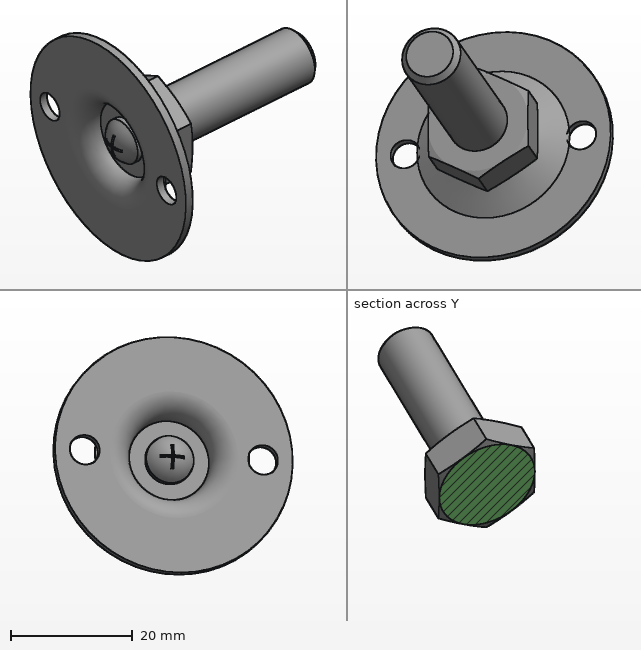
import cadquery as cq
import math


flange_diameter = 40.0
flange_thickness = 1.5
mount_hole_diameter = 5.0
mount_hole_spacing = 30.0

cone_base_radius = 13.0
cone_top_radius = 6.5
cone_top_y = 4.8
recess_depth = 4.0
recess_floor_radius = 6.75
recess_mouth_radius = recess_floor_radius + recess_depth

stud_diameter = 10.0
stud_end_y = 41.0
stud_chamfer = 1.0

nut_across_flats = 17.0
nut_across_corners = nut_across_flats / math.cos(math.radians(30))
nut_height = 6.2
nut_face_diameter = nut_across_flats
nut_bevel_angle = 15.0

head_diameter = 8.0
head_rim_height = 1.0
head_dome_height = 2.2
slot_length = 4.0
slot_width = 0.4
slot_depth = 1.0


def plane_at(y):
    """Plane facing +Y, with its local axes along global Z and X."""
    return cq.Plane(origin=(0, y, 0), xDir=(0, 0, 1), normal=(0, 1, 0))


def spin(profile):
    """Revolve a closed XY profile about the Y axis."""
    return profile.close().revolve(360, (0, 0, 0), (0, 1, 0))


def make_flange():
    holes = [(0, -mount_hole_spacing / 2), (0, mount_hole_spacing / 2)]
    disc = cq.Workplane(plane_at(0)).circle(flange_diameter / 2).extrude(flange_thickness)
    cutter = cq.Workplane(plane_at(0)).pushPoints(holes).circle(mount_hole_diameter / 2)
    return disc.cut(cutter.extrude(flange_thickness))


def make_cone():
    profile = (
        cq.Workplane("XY")
        .moveTo(0, flange_thickness)
        .lineTo(cone_base_radius, flange_thickness)
        .lineTo(cone_top_radius, cone_top_y)
        .lineTo(0, cone_top_y)
    )
    return spin(profile)


def make_recess():
    arc_offset = recess_depth * math.sin(math.radians(45))
    arc_middle = (recess_mouth_radius - arc_offset, recess_depth - arc_offset)
    profile = (
        cq.Workplane("XY")
        .lineTo(recess_mouth_radius, 0)
        .threePointArc(arc_middle, (recess_floor_radius, recess_depth))
        .lineTo(0, recess_depth)
    )
    return spin(profile)


def make_stud():
    stud = cq.Workplane(plane_at(cone_top_y)).circle(stud_diameter / 2).extrude(stud_end_y - cone_top_y)
    return stud.faces(">Y").chamfer(stud_chamfer)


def make_nut():
    corner_radius = nut_across_corners / 2
    face_radius = nut_face_diameter / 2
    bevel = (corner_radius - face_radius) * math.tan(math.radians(nut_bevel_angle))
    top_y = cone_top_y + nut_height
    hexagon = cq.Workplane(plane_at(cone_top_y)).polygon(6, nut_across_corners).extrude(nut_height)
    profile = (
        cq.Workplane("XY")
        .moveTo(0, cone_top_y)
        .lineTo(face_radius, cone_top_y)
        .lineTo(corner_radius, cone_top_y + bevel)
        .lineTo(corner_radius, top_y - bevel)
        .lineTo(face_radius, top_y)
        .lineTo(0, top_y)
    )
    return hexagon.intersect(spin(profile))


def make_screw_head():
    radius = head_diameter / 2
    rim_y = recess_depth - head_rim_height
    apex_y = rim_y - head_dome_height
    sphere_radius = (radius**2 + head_dome_height**2) / (2 * head_dome_height)
    half_angle = math.asin(radius / sphere_radius) / 2
    arc_middle = (
        sphere_radius * math.sin(half_angle),
        apex_y + sphere_radius * (1 - math.cos(half_angle)),
    )
    profile = (
        cq.Workplane("XY")
        .moveTo(0, recess_depth)
        .lineTo(radius, recess_depth)
        .lineTo(radius, rim_y)
        .threePointArc(arc_middle, (0, apex_y))
    )
    apex = cq.Workplane(plane_at(apex_y))
    head = spin(profile)
    for size_z, size_x in [(slot_length, slot_width), (slot_width, slot_length)]:
        head = head.cut(apex.rect(size_z, size_x).extrude(slot_depth))
    return head


plate = make_flange().union(make_cone()).cut(make_recess())
result = plate.union(make_nut()).union(make_stud()).union(make_screw_head())